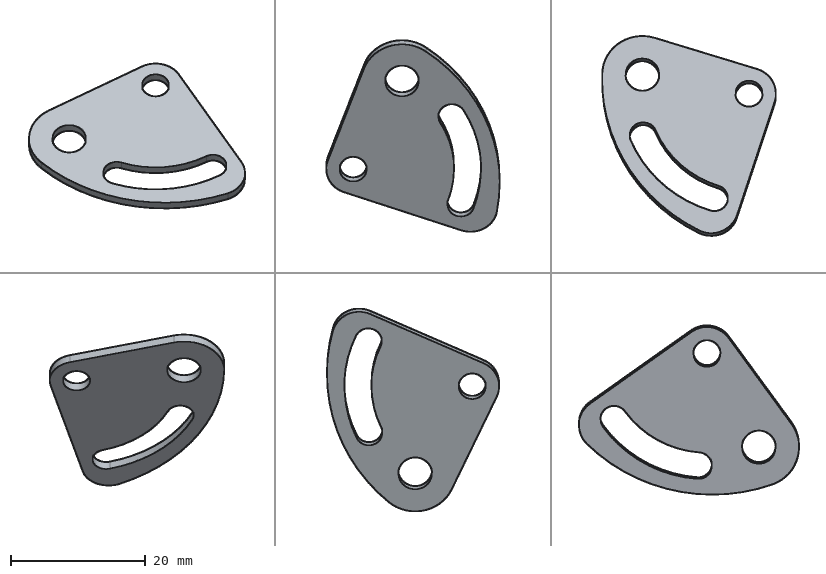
import cadquery as cq
import math

width = 26.53
height = 26.0
thickness = 1.5
corner_radius = 4.0
lower_radius = 6.0
rim_radius = 26.53
small_hole_diameter = 4.0
large_hole_diameter = 5.0
slot_width = 4.0
slot_radius = 17.0
slot_sweep = 50.0

left = -corner_radius
top = corner_radius
right_center = (width - 2 * corner_radius, 0)
lower_center = (left + lower_radius, top - height + lower_radius)


def polar(radius, degrees):
    """Point at a radius and angle about the small hole."""
    angle = math.radians(degrees)
    return (radius * math.cos(angle), radius * math.sin(angle))


def rim_center():
    """Centre of the rim arc that encloses and touches both corner circles."""
    right_distance = rim_radius - corner_radius
    lower_distance = rim_radius - lower_radius
    dx = lower_center[0] - right_center[0]
    dy = lower_center[1] - right_center[1]
    span = math.hypot(dx, dy)
    along = (right_distance**2 - lower_distance**2 + span**2) / (2 * span)
    across = math.sqrt(right_distance**2 - along**2)
    return (
        right_center[0] + (along * dx + across * dy) / span,
        right_center[1] + (along * dy - across * dx) / span,
    )


def point_away(origin, center, radius):
    """Point on a circle farthest from the origin given."""
    dx = center[0] - origin[0]
    dy = center[1] - origin[1]
    distance = math.hypot(dx, dy)
    return (center[0] + radius * dx / distance, center[1] + radius * dy / distance)


def make_plate():
    center = rim_center()
    rim_start = point_away(center, right_center, corner_radius)
    rim_end = point_away(center, lower_center, lower_radius)
    corner_offset = corner_radius * math.sqrt(0.5)
    lower_offset = lower_radius * math.sqrt(0.5)
    right_mid = (right_center[0] + corner_offset, corner_offset)
    lower_mid = (lower_center[0] - lower_offset, lower_center[1] - lower_offset)
    chord_mid = ((rim_start[0] + rim_end[0]) / 2, (rim_start[1] + rim_end[1]) / 2)
    rim_mid = point_away(center, chord_mid, rim_radius - math.dist(center, chord_mid))
    return (
        cq.Workplane("XY")
        .moveTo(0, top)
        .lineTo(right_center[0], top)
        .threePointArc(right_mid, rim_start)
        .threePointArc(rim_mid, rim_end)
        .threePointArc(lower_mid, (left, lower_center[1]))
        .lineTo(left, 0)
        .threePointArc((-corner_offset, corner_offset), (0, top))
        .close()
        .extrude(thickness)
    )


def make_hole(center, diameter):
    return cq.Workplane("XY").center(*center).circle(diameter / 2).extrude(thickness)


def make_slot():
    inner = slot_radius - slot_width / 2
    outer = slot_radius + slot_width / 2
    middle = -slot_sweep / 2
    band = (
        cq.Workplane("XY")
        .moveTo(inner, 0)
        .lineTo(outer, 0)
        .threePointArc(polar(outer, middle), polar(outer, -slot_sweep))
        .lineTo(*polar(inner, -slot_sweep))
        .threePointArc(polar(inner, middle), (inner, 0))
        .close()
        .extrude(thickness)
    )
    for angle in (0, -slot_sweep):
        band = band.union(make_hole(polar(slot_radius, angle), slot_width))
    return band


result = (
    make_plate()
    .cut(make_hole((0, 0), small_hole_diameter))
    .cut(make_hole(lower_center, large_hole_diameter))
    .cut(make_slot())
)